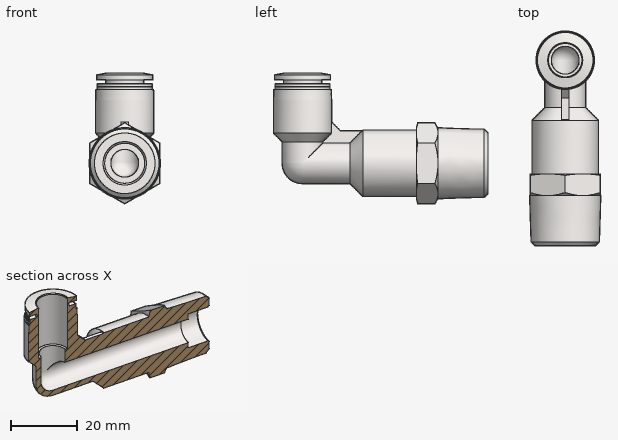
import cadquery as cq
import math


leg_radius = 12.3 / 2
passage_radius = 8.3 / 2

shoulder_start = 14.15
barrel_start = 18.0
barrel_radius = 20.0 / 2
hex_start = 34.0
hex_length = 6.5
hex_end = hex_start + hex_length
thread_length = 15.0
arm_end = hex_end + thread_length
thread_start_radius = 21.38 / 2
thread_chamfer = 1.2
thread_chamfer_start = arm_end - thread_chamfer
thread_taper = 1 / 16
thread_end_radius = thread_start_radius - thread_taper * (thread_length - thread_chamfer) / 2

hex_sides = 6
hex_across_flats = 21.0
hex_thread_side_angle = 30
hex_barrel_side_angle = 15
hex_flat_radius = hex_across_flats / 2
hex_corner_radius = hex_flat_radius / math.cos(math.pi / hex_sides)
hex_corner_rise = hex_corner_radius - hex_flat_radius
hex_thread_side_chamfer = hex_corner_rise * math.tan(math.radians(hex_thread_side_angle))
hex_barrel_side_chamfer = hex_corner_rise * math.tan(math.radians(hex_barrel_side_angle))

counterbore_radius = 11.97 / 2
counterbore_depth = 7.5
counterbore_chamfer = 0.5

body_radius = 17.5 / 2
body_bottom = 9.0
body_flare = body_radius - leg_radius
draft_start = 18.9
body_top = 22.0
body_top_radius = 17.35 / 2
collar_radius = 16.5 / 2
collar_chamfer = 0.25
collar_groove_radius = 16.2 / 2
collar_groove_bottom = 22.85
collar_groove_top = 23.0
collar_top = 23.9
neck_radius = 11.5 / 2
flange_radius = 16.8 / 2
flange_bottom = 24.9
flange_rim_top = 26.45
flange_top = 27.0
flange_top_radius = 11.0 / 2

socket_radius = 10.0 / 2
socket_bottom = 9.0
socket_chamfer = 0.25

web_width = 2.2
web_top = 9.75
web_gusset_start = 11.3
web_gusset_rise = 2.7
web_gusset_end = web_gusset_start - web_gusset_rise


def revolve_up(profile):
    """Revolve (radius, height) points about the Z axis."""
    return cq.Workplane("XZ").polyline(profile).close().revolve(360, (0, 0, 0), (0, 1, 0))


def revolve_along_arm(profile):
    """Revolve (radius, distance) points about the axis of the threaded arm."""
    return revolve_up(profile).rotate((0, 0, 0), (1, 0, 0), 90)


def make_elbow(radius, up_length, arm_length):
    """Two equal cylinders meeting at a right angle, rounded by a ball at the corner."""
    ball = cq.Workplane("XY").sphere(radius)
    up = cq.Workplane("XY").circle(radius).extrude(up_length)
    arm = cq.Workplane("XZ").circle(radius).extrude(arm_length)
    return up.union(arm).union(ball)


def make_threaded_arm():
    """Shoulder, barrel and tapered thread envelope."""
    return revolve_along_arm([
        (0, shoulder_start),
        (leg_radius, shoulder_start),
        (barrel_radius, barrel_start),
        (barrel_radius, hex_end),
        (thread_start_radius, hex_end),
        (thread_end_radius, thread_chamfer_start),
        (thread_end_radius - thread_chamfer, arm_end),
        (0, arm_end),
    ])


def make_hexagon():
    """Hexagon with corners up and down, its corners turned down at both ends."""
    prism = (
        cq.Workplane("XZ", origin=(0, -hex_start, 0))
        .polygon(hex_sides, 2 * hex_corner_radius)
        .extrude(hex_length)
        .rotate((0, 0, 0), (0, 1, 0), 180 / hex_sides)
    )
    turned_envelope = revolve_along_arm([
        (0, hex_start),
        (hex_flat_radius, hex_start),
        (hex_corner_radius, hex_start + hex_barrel_side_chamfer),
        (hex_corner_radius, hex_end - hex_thread_side_chamfer),
        (hex_flat_radius, hex_end),
        (0, hex_end),
    ])
    return prism.intersect(turned_envelope)


def make_push_in_arm():
    """Flared body, grooved collar and release flange."""
    return revolve_up([
        (0, body_bottom - body_flare),
        (leg_radius, body_bottom - body_flare),
        (body_radius, body_bottom),
        (body_radius, draft_start),
        (body_top_radius, body_top),
        (collar_radius, body_top),
        (collar_radius, collar_groove_bottom),
        (collar_groove_radius, collar_groove_bottom),
        (collar_groove_radius, collar_groove_top),
        (collar_radius, collar_groove_top),
        (collar_radius, collar_top - collar_chamfer),
        (collar_radius - collar_chamfer, collar_top),
        (neck_radius, collar_top),
        (neck_radius, flange_bottom),
        (flange_radius, flange_bottom),
        (flange_radius, flange_rim_top),
        (flange_top_radius, flange_top),
        (0, flange_top),
    ])


def make_web():
    """Thin web joining both arms, with a 45 degree gusset against the body."""
    outline = [
        (0, 0),
        (-barrel_start, 0),
        (-barrel_start, web_top),
        (-web_gusset_start, web_top),
        (-web_gusset_end, web_top + web_gusset_rise),
        (0, web_top + web_gusset_rise),
    ]
    return cq.Workplane("YZ").polyline(outline).close().extrude(web_width / 2, both=True)


def make_counterbore():
    """Flat-bottomed counterbore with a chamfered mouth."""
    return revolve_along_arm([
        (0, arm_end - counterbore_depth),
        (counterbore_radius, arm_end - counterbore_depth),
        (counterbore_radius, arm_end - counterbore_chamfer),
        (counterbore_radius + counterbore_chamfer, arm_end),
        (0, arm_end),
    ])


def make_socket():
    """Flat-bottomed tube socket with a chamfered mouth."""
    return revolve_up([
        (0, socket_bottom),
        (socket_radius, socket_bottom),
        (socket_radius, flange_top - socket_chamfer),
        (socket_radius + socket_chamfer, flange_top),
        (0, flange_top),
    ])


outside = (
    make_elbow(leg_radius, body_bottom, barrel_start)
    .union(make_web())
    .union(make_push_in_arm())
    .union(make_threaded_arm())
    .union(make_hexagon())
)
passage = make_elbow(passage_radius, flange_top, arm_end)
result = outside.cut(passage).cut(make_counterbore()).cut(make_socket())